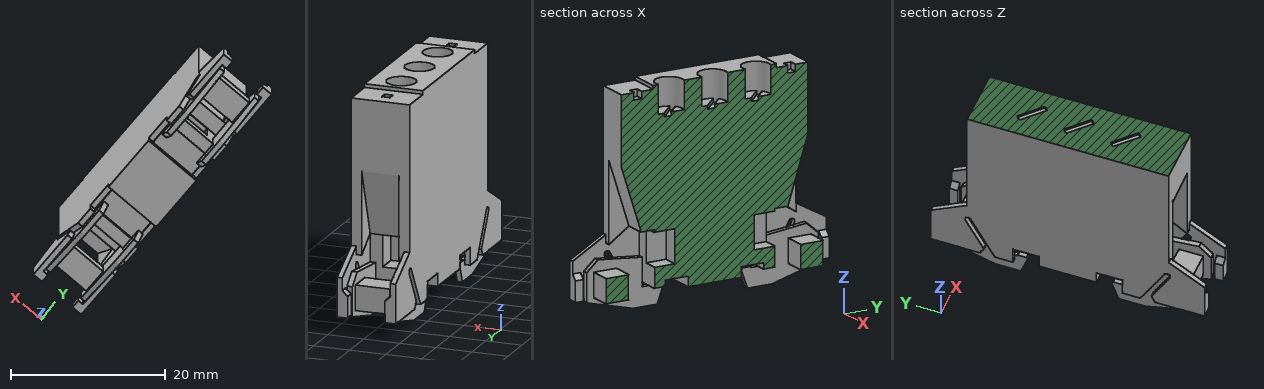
import cadquery as cq
import math


width = 8.15
layer_thickness = 0.75
plate_outer_x = width / 2
plate_inner_x = plate_outer_x - layer_thickness
core_x = plate_inner_x - layer_thickness

wing_y = 19.0
body_y = 14.0
raised_top_y = 9.25
total_height = 30.95
top_step = 0.5
shoulder_z = total_height - top_step
wing_root_z = 10.4
wing_tip_z = 7.58
wing_bottom_z = 2.15

rail_foot_y = 4.0
rail_foot_z = 2.75
notch_outer_y = 7.6
notch_plate_z = 4.55
notch_core_z = 4.2
core_step_y = 7.35
core_step_z = 3.35

funnel_top_z = 20.65
funnel_inner_y = 11.0
cavity_roof_z = 11.3
cavity_wall_y = 9.0
layer_mouth_z = 9.25
terminal_width = 3.25
terminal_height = 4.7
terminal_bottom_z = 6.25
terminal_depth = 3.0

latch_root_top_z = 6.75
latch_peak = (15.65, 7.45)
latch_end_y = 17.32
latch_end_top_z = 5.95
latch_end_bottom_z = 1.85
latch_sole_outer_y = 10.4
latch_sole_inner_y = 6.75
hook_tip = (5.8, 2.6)
hook_top_inner_y = 6.0
hook_top_outer_y = 7.26
hook_top_z = 2.9

block_inner_y = 12.85
block_outer_y = 16.25
block_bottom_z = 2.4
block_top_z = 5.87

lug_length = 1.2
lug_top_z = 5.87

slot_angle = math.radians(60)
slot_end_center = (13.8, 7.75)
slot_radius = 0.42
slot_flare_z = 3.1

screw_count = 3
screw_pitch = 6.5
screw_hole_diameter = 3.95
screw_hole_depth = 4.0
screw_slot_width = 0.7
screw_slot_depth = 0.5
screw_slot_angle = -43.5
pocket_size = 1.1
pocket_y = 11.5
pocket_depth = 1.0


def extrude_profile(points, x_start, x_end):
    """Extrude a closed (Y, Z) outline along X."""
    profile = cq.Workplane("YZ", origin=(x_start, 0, 0)).polyline(points).close()
    return profile.extrude(x_end - x_start)


def mirror_outline(half):
    """Close a symmetric outline from its +Y half, listed from the top down to the underside."""
    return half + [(-y, z) for y, z in reversed(half)]


def both_ends(solid):
    return solid.union(solid.mirror("XZ"))


def both_sides(solid):
    return solid.union(solid.mirror("YZ"))


def make_box(x_range, y_range, z_range):
    size = [end - start for start, end in (x_range, y_range, z_range)]
    corner = (x_range[0], y_range[0], z_range[0])
    return cq.Workplane("XY", origin=corner).box(*size, centered=False)


def make_slot():
    """Slanted slot with a round upper end; its outer edge flares open near the underside."""
    center_y, center_z = slot_end_center
    axis_y, axis_z = math.cos(slot_angle), math.sin(slot_angle)
    edge_shift = slot_radius / axis_z

    def axis_y_at(z):
        return center_y - (center_z - z) / math.tan(slot_angle)

    inner_foot = (axis_y_at(wing_bottom_z) - edge_shift, wing_bottom_z)
    inner_tangent = (center_y - slot_radius * axis_z, center_z + slot_radius * axis_y)
    end_tip = (center_y + slot_radius * axis_y, center_z + slot_radius * axis_z)
    outer_tangent = (center_y + slot_radius * axis_z, center_z - slot_radius * axis_y)
    flare_start = (axis_y_at(slot_flare_z) + edge_shift, slot_flare_z)
    flare_run = (slot_flare_z - wing_bottom_z) / math.tan(slot_angle)
    flare_end = (flare_start[0] + flare_run, wing_bottom_z)
    outline = (
        cq.Workplane("YZ", origin=(plate_inner_x, 0, 0))
        .moveTo(*inner_foot)
        .lineTo(*inner_tangent)
        .threePointArc(end_tip, outer_tangent)
        .lineTo(*flare_start)
        .lineTo(*flare_end)
        .close()
    )
    return outline.extrude(layer_thickness)


def make_plate():
    half = [
        (raised_top_y, total_height),
        (raised_top_y, shoulder_z),
        (body_y, shoulder_z),
        (body_y, wing_root_z),
        (wing_y, wing_tip_z),
        (wing_y, wing_bottom_z),
        (notch_outer_y, wing_bottom_z),
        (notch_outer_y, notch_plate_z),
        (rail_foot_y, notch_plate_z),
        (rail_foot_y, rail_foot_z),
    ]
    plate = extrude_profile(mirror_outline(half), plate_inner_x, plate_outer_x)
    return plate.cut(both_ends(make_slot()))


def make_housing_layer(mouth_z, x_start, x_end):
    """Housing without wings; the roof of its wire entry meets the end face at mouth_z."""
    half = [
        (raised_top_y, total_height),
        (raised_top_y, shoulder_z),
        (body_y, shoulder_z),
        (body_y, mouth_z),
        (funnel_inner_y, cavity_roof_z),
        (cavity_wall_y, cavity_roof_z),
        (cavity_wall_y, core_step_z),
        (core_step_y, core_step_z),
        (core_step_y, notch_core_z),
        (rail_foot_y, notch_core_z),
        (rail_foot_y, rail_foot_z),
    ]
    return extrude_profile(mirror_outline(half), x_start, x_end)


def make_latch():
    outline = [
        (cavity_wall_y, latch_root_top_z),
        latch_peak,
        (latch_end_y, latch_end_top_z),
        (latch_end_y, latch_end_bottom_z),
        (latch_sole_outer_y, 0),
        (latch_sole_inner_y, 0),
        hook_tip,
        (hook_top_inner_y, hook_top_z),
        (hook_top_outer_y, hook_top_z),
        (hook_top_outer_y, rail_foot_z),
        (cavity_wall_y, rail_foot_z),
    ]
    return extrude_profile(outline, core_x, plate_inner_x)


def make_lug():
    """Stub on the wing tip with a 45 degree top that rises towards the plate."""
    outline = [
        (core_x, wing_bottom_z),
        (plate_inner_x, wing_bottom_z),
        (plate_inner_x, lug_top_z),
        (core_x, lug_top_z - layer_thickness),
    ]
    return cq.Workplane("XZ", origin=(0, wing_y, 0)).polyline(outline).close().extrude(lug_length)


def make_bridge_block():
    return make_box((-core_x, core_x), (block_inner_y, block_outer_y), (block_bottom_z, block_top_z))


def make_terminal_opening():
    return make_box(
        (-terminal_width / 2, terminal_width / 2),
        (cavity_wall_y - terminal_depth, cavity_wall_y),
        (terminal_bottom_z, terminal_bottom_z + terminal_height),
    )


def make_screw_holes():
    """Blind round holes, each with a screwdriver slot sunk into its floor."""
    floor_z = total_height - screw_hole_depth
    floor = cq.Workplane("XY", origin=(0, 0, floor_z))
    hole = floor.circle(screw_hole_diameter / 2).extrude(screw_hole_depth)
    slot_bar = cq.Workplane("XY").box(screw_hole_diameter, screw_slot_width, screw_slot_depth)
    slot_bar = slot_bar.rotate((0, 0, 0), (0, 0, 1), screw_slot_angle)
    slot_bar = slot_bar.translate((0, 0, floor_z - screw_slot_depth / 2))
    slot_limit = hole.translate((0, 0, -screw_slot_depth))
    cutter = hole.union(slot_bar.intersect(slot_limit))
    holes = cq.Workplane("XY")
    for index in range(screw_count):
        offset = (index - (screw_count - 1) / 2) * screw_pitch
        holes = holes.add(cutter.translate((0, offset, 0)))
    return holes.combine()


def make_marker_pocket():
    half_size = pocket_size / 2
    return make_box(
        (-half_size, half_size),
        (pocket_y - half_size, pocket_y + half_size),
        (shoulder_z - pocket_depth, shoulder_z),
    )


core = make_housing_layer(funnel_top_z, -core_x, core_x)
core = core.cut(both_ends(make_terminal_opening()))
core = core.cut(both_ends(make_marker_pocket()))
core = core.cut(make_screw_holes())

side = make_housing_layer(layer_mouth_z, core_x, plate_inner_x)
side = side.union(both_ends(make_latch()))
side = side.union(make_plate())
side = side.union(both_ends(make_lug()))

result = core.union(both_sides(side)).union(both_ends(make_bridge_block()))